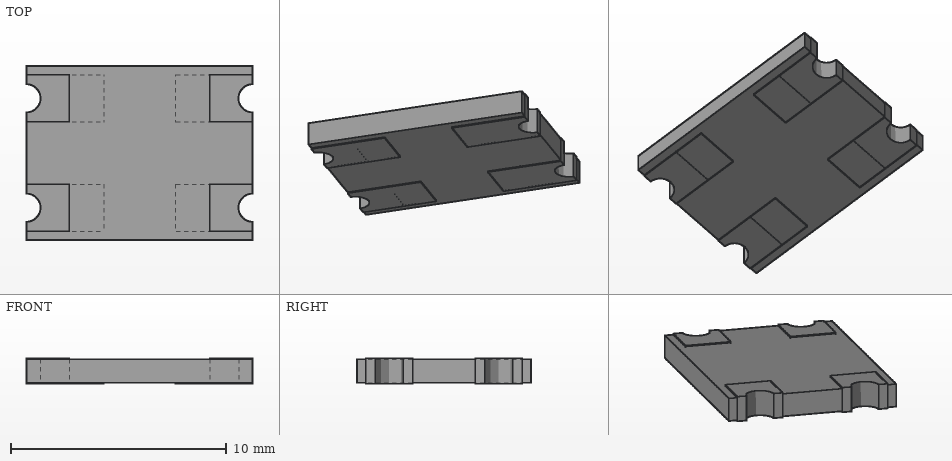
import cadquery as cq

board_length = 10.5
board_width = 8.1
overall_height = 1.2
pad_thickness = 0.05

terminal_width = 2.2
terminal_pitch = 5.08
top_pad_length = 2.0
bottom_pad_length = 3.6
notch_radius = 0.65

board_bottom = pad_thickness
board_height = overall_height - 2 * pad_thickness
end_x = board_length / 2
terminal_y = terminal_pitch / 2
ends = (-1, 1)
rows = (-1, 1)


def end_block(end, row, length, height):
    """Block as wide as a terminal, reaching inward from the board end, standing on Z = 0."""
    return (
        cq.Workplane("XY")
        .center(end * (end_x - length / 2), row * terminal_y)
        .rect(length, terminal_width)
        .extrude(height)
    )


def make_terminal(end, row):
    """L-shaped terminal: full-height post at the board end with a longer foot under the board."""
    post = end_block(end, row, top_pad_length, overall_height)
    foot = end_block(end, row, bottom_pad_length, pad_thickness)
    notch = (
        cq.Workplane("XY")
        .center(end * end_x, row * terminal_y)
        .circle(notch_radius)
        .extrude(overall_height)
    )
    return post.union(foot).cut(notch)


def make_board():
    """Flat board with a rectangular recess in its ends for each terminal post."""
    board = (
        cq.Workplane("XY")
        .workplane(offset=board_bottom)
        .rect(board_length, board_width)
        .extrude(board_height)
    )
    for end in ends:
        for row in rows:
            board = board.cut(end_block(end, row, top_pad_length, overall_height))
    return board


board = make_board()

terminals = []
for end in ends:
    for row in rows:
        terminals.append(make_terminal(end, row).val())

result = cq.Compound.makeCompound([board.val(), *terminals])